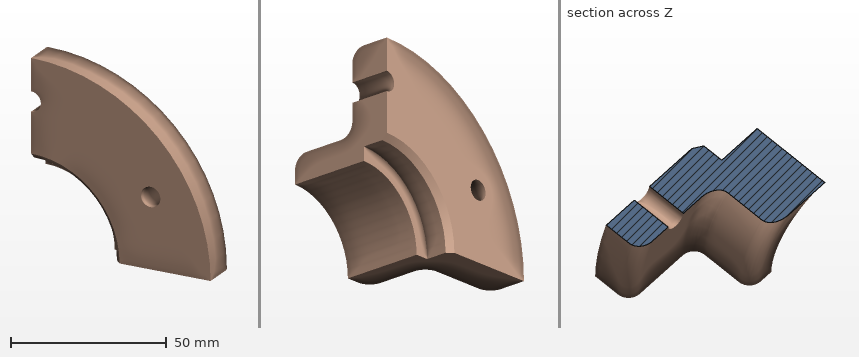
import cadquery as cq
import math

flange_radius = 65.0
flange_thickness = 15.0
hub_radius = 35.0
hub_length = 40.0
edge_radius = 5.0
sweep_angle = 90

bore_radius = 25.0
counterbore_radius = 30.0
counterbore_depth = 10.0
chamfer = 2.0

bolt_circle_radius = 50.0
bolt_hole_diameter = 7.0
bolt_hole_angles = (30, 90)


def quarter_body():
    """Revolve the radial section from the X axis to the Z axis."""
    diagonal = edge_radius * math.sqrt(0.5)
    rim_center_x = flange_radius - edge_radius
    rim_center_y = flange_thickness - edge_radius
    root_center_x = hub_radius + edge_radius
    root_center_y = flange_thickness + edge_radius
    top_center_x = hub_radius - edge_radius
    top_center_y = hub_length - edge_radius

    section = (
        cq.Workplane("XY")
        .moveTo(counterbore_radius + chamfer, 0)
        .lineTo(flange_radius, 0)
        .lineTo(flange_radius, rim_center_y)
        .threePointArc(
            (rim_center_x + diagonal, rim_center_y + diagonal),
            (rim_center_x, flange_thickness),
        )
        .lineTo(root_center_x, flange_thickness)
        .threePointArc(
            (root_center_x - diagonal, root_center_y - diagonal),
            (hub_radius, root_center_y),
        )
        .lineTo(hub_radius, top_center_y)
        .threePointArc(
            (top_center_x + diagonal, top_center_y + diagonal),
            (top_center_x, hub_length),
        )
        .lineTo(bore_radius, hub_length)
        .lineTo(bore_radius, counterbore_depth)
        .lineTo(counterbore_radius, counterbore_depth)
        .lineTo(counterbore_radius, chamfer)
        .close()
    )
    return section.revolve(sweep_angle, (0, 0, 0), (0, -1, 0))


def bolt_hole(angle):
    """Cylinder through the flange, parallel to the hub axis."""
    x = bolt_circle_radius * math.cos(math.radians(angle))
    z = bolt_circle_radius * math.sin(math.radians(angle))
    return (
        cq.Workplane("XZ")
        .center(x, z)
        .circle(bolt_hole_diameter / 2)
        .extrude(-flange_thickness)
    )


result = quarter_body()
for hole_angle in bolt_hole_angles:
    result = result.cut(bolt_hole(hole_angle))